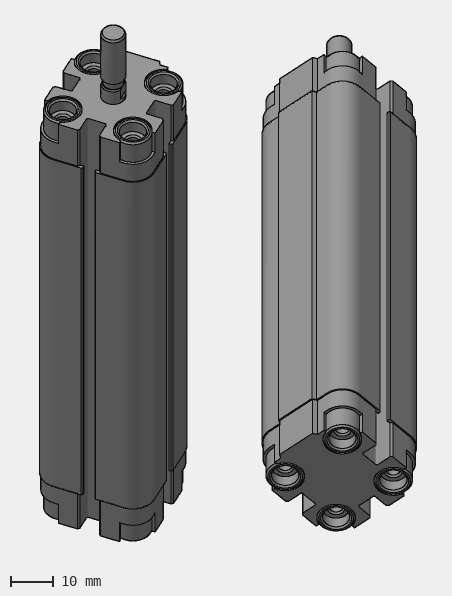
import cadquery as cq
import math

TOTAL_HEIGHT = 148.5
HOUSING_HEIGHT = 128.2
CAP_HEIGHT = 11.6
BARREL_TOP = HOUSING_HEIGHT - CAP_HEIGHT

BARREL_WIDTH = 29.0
BARREL_DEPTH = 30.0
BARREL_HALF_WIDTH = BARREL_WIDTH / 2
BARREL_PAD_REACH = BARREL_DEPTH - BARREL_HALF_WIDTH
CAP_INSET = 0.3
CAP_HALF_WIDTH = BARREL_HALF_WIDTH - CAP_INSET
CAP_PAD_REACH = BARREL_PAD_REACH - CAP_INSET
PAD_WIDTH = 10.4
PAD_FLANK_ANGLE = 30

SLOT_ANGLES = (0, 180, 270)
SLOT_FLOOR = 9.5
SLOT_WIDTH = 5.0
SLOT_MOUTH_WIDTH = 3.1
SLOT_LIP = 0.9
SLOT_FLOOR_FILLET = 0.5
BARREL_SLOT_CHAMFER = 0.3
CAP_SLOT_CHAMFER = 0.5

CORNER_ANGLES = (0, 90, 180, 270)
HOLE_SPACING = 18.0
HOLE_OFFSET = HOLE_SPACING / 2
SCREW_HOLE_DIAMETER = 3.3
SCREW_ENTRY_DIAMETER = 4.2
SOCKET_DIAMETER = 6.4
SOCKET_DEPTH = 3.4

COLLAR_DIAMETER = 9.0
COLLAR_CHAMFER = 0.5
RELIEF_DEPTH = 6.1
RELIEF_PAST_HOLE = 1.2
RELIEF_START = HOLE_OFFSET - RELIEF_PAST_HOLE

ROD_DIAMETER = 6.0
ROD_TIP_DIAMETER = 5.2
ROD_TIP_LENGTH = 0.6
NECK_DIAMETER = 4.9
NECK_TOP = 134.5
NECK_BOTTOM = 132.5
SHOULDER_CHAMFER = 0.3
FLAT_BOTTOM = 129.5
ACROSS_FLATS = 5.0
ROD_BOTTOM = BARREL_TOP

CLEARANCE = 1.5


def outline_prism(half_width, pad_reach, bottom, top):
    """Square with corners rounded about the screw holes and a slope-sided pad along its +Y side."""
    square = (
        cq.Workplane("XY", origin=(0, 0, bottom))
        .rect(2 * half_width, 2 * half_width)
        .extrude(top - bottom)
        .edges("|Z")
        .fillet(half_width - HOLE_OFFSET)
    )
    pad_half_width = PAD_WIDTH / 2
    foot_half_width = pad_half_width + (pad_reach - half_width) * math.tan(math.radians(PAD_FLANK_ANGLE))
    pad_outline = [
        (pad_half_width, pad_reach),
        (foot_half_width, half_width),
        (foot_half_width, 0),
        (-foot_half_width, 0),
        (-foot_half_width, half_width),
        (-pad_half_width, pad_reach),
    ]
    pad = (
        cq.Workplane("XY", origin=(0, 0, bottom))
        .polyline(pad_outline)
        .close()
        .extrude(top - bottom)
    )
    return square.union(pad)


def slot_chamber(end, bottom, top):
    """Cutter for the wide part of a +X slot, from its rounded floor out to x = end."""
    return (
        cq.Workplane("XY", origin=((SLOT_FLOOR + end) / 2, 0, bottom))
        .rect(end - SLOT_FLOOR, SLOT_WIDTH)
        .extrude(top - bottom)
        .edges("|Z and <X")
        .fillet(SLOT_FLOOR_FILLET)
    )


def slot_mouth(width, chamfer, face, bottom, top):
    """Cutter for a +X slot opening with chamfered edges at the face x = face."""
    inner = width / 2
    outer = inner + chamfer
    half_outline = [
        (SLOT_FLOOR + SLOT_FLOOR_FILLET, inner),
        (face - chamfer, inner),
        (face, outer),
        (face + CLEARANCE, outer),
    ]
    mirrored = [(x, -y) for x, y in reversed(half_outline)]
    return (
        cq.Workplane("XY", origin=(0, 0, bottom))
        .polyline(half_outline + mirrored)
        .close()
        .extrude(top - bottom)
    )


def slot_cutter():
    """Whole +X slot: lipped along the barrel, fully open along both caps."""
    cutter = slot_chamber(BARREL_HALF_WIDTH - SLOT_LIP, 0, HOUSING_HEIGHT)
    barrel_mouth = slot_mouth(
        SLOT_MOUTH_WIDTH, BARREL_SLOT_CHAMFER, BARREL_HALF_WIDTH, CAP_HEIGHT, BARREL_TOP
    )
    cutter = cutter.union(barrel_mouth)
    for bottom, top in ((0, CAP_HEIGHT), (BARREL_TOP, HOUSING_HEIGHT)):
        cutter = cutter.union(slot_mouth(SLOT_WIDTH, CAP_SLOT_CHAMFER, CAP_HALF_WIDTH, bottom, top))
    return cutter


def socket_cutter():
    """Revolved cutter for the socket at the top end of the (+X, +Y) corner."""
    top = HOUSING_HEIGHT
    floor = top - SOCKET_DEPTH
    entry_depth = (SCREW_ENTRY_DIAMETER - SCREW_HOLE_DIAMETER) / 2
    profile = [
        (0, HOUSING_HEIGHT / 2),
        (SCREW_HOLE_DIAMETER / 2, HOUSING_HEIGHT / 2),
        (SCREW_HOLE_DIAMETER / 2, floor - entry_depth),
        (SCREW_ENTRY_DIAMETER / 2, floor),
        (SOCKET_DIAMETER / 2, floor),
        (SOCKET_DIAMETER / 2, top - COLLAR_CHAMFER),
        (SOCKET_DIAMETER / 2 + COLLAR_CHAMFER, top),
        (0, top),
    ]
    socket = cq.Workplane("XZ").polyline(profile).close().revolve(360, (0, 0), (0, 1))
    return socket.translate((HOLE_OFFSET, HOLE_OFFSET, 0))


def collar_cutter():
    """Cutter for the collar's outer chamfer and the relief on the (+X, +Y) corner, top end."""
    radius = COLLAR_DIAMETER / 2
    top = HOUSING_HEIGHT
    groove_profile = [
        (radius, top - COLLAR_CHAMFER),
        (radius, top),
        (radius - COLLAR_CHAMFER, top),
    ]
    groove = (
        cq.Workplane("XZ")
        .polyline(groove_profile)
        .close()
        .revolve(360, (0, 0), (0, 1))
        .translate((HOLE_OFFSET, HOLE_OFFSET, 0))
    )
    relief_size = BARREL_HALF_WIDTH - RELIEF_START
    collar = (
        cq.Workplane("XY", origin=(HOLE_OFFSET, HOLE_OFFSET, top - RELIEF_DEPTH))
        .circle(radius)
        .extrude(RELIEF_DEPTH)
    )
    relief = (
        cq.Workplane("XY", origin=(RELIEF_START, RELIEF_START, top - RELIEF_DEPTH))
        .rect(relief_size, relief_size, centered=False)
        .extrude(RELIEF_DEPTH)
        .cut(collar)
    )
    return relief.union(groove)


def about_z(shape, angle):
    return shape.rotate((0, 0, 0), (0, 0, 1), angle)


def make_housing():
    housing = outline_prism(CAP_HALF_WIDTH, CAP_PAD_REACH, 0, HOUSING_HEIGHT)
    housing = housing.union(outline_prism(BARREL_HALF_WIDTH, BARREL_PAD_REACH, CAP_HEIGHT, BARREL_TOP))
    for angle in SLOT_ANGLES:
        housing = housing.cut(about_z(slot_cutter(), angle))
    for top_cutter in (socket_cutter(), collar_cutter()):
        bottom_cutter = top_cutter.mirror("XY", (0, 0, HOUSING_HEIGHT / 2))
        for angle in CORNER_ANGLES:
            housing = housing.cut(about_z(top_cutter, angle)).cut(about_z(bottom_cutter, angle))
    rod_hole = (
        cq.Workplane("XY", origin=(0, 0, ROD_BOTTOM))
        .circle(ROD_DIAMETER / 2)
        .extrude(HOUSING_HEIGHT - ROD_BOTTOM)
    )
    return housing.cut(rod_hole)


def make_rod():
    """Turned rod with a narrow neck and, below it, wrench flats facing +X and -X."""
    radius = ROD_DIAMETER / 2
    neck_radius = NECK_DIAMETER / 2
    profile = [
        (0, ROD_BOTTOM),
        (radius, ROD_BOTTOM),
        (radius, NECK_BOTTOM - SHOULDER_CHAMFER),
        (radius - SHOULDER_CHAMFER, NECK_BOTTOM),
        (neck_radius, NECK_BOTTOM),
        (neck_radius, NECK_TOP),
        (radius, NECK_TOP),
        (radius, TOTAL_HEIGHT - ROD_TIP_LENGTH),
        (ROD_TIP_DIAMETER / 2, TOTAL_HEIGHT),
        (0, TOTAL_HEIGHT),
    ]
    rod = cq.Workplane("XZ").polyline(profile).close().revolve(360, (0, 0), (0, 1))
    flat_distance = ACROSS_FLATS / 2
    flat_profile = [
        (flat_distance, NECK_BOTTOM),
        (flat_distance, FLAT_BOTTOM),
        (flat_distance + CLEARANCE, FLAT_BOTTOM - CLEARANCE),
        (flat_distance + CLEARANCE, NECK_BOTTOM),
    ]
    flat = cq.Workplane("XZ").polyline(flat_profile).close().extrude(radius, both=True)
    for angle in (0, 180):
        rod = rod.cut(about_z(flat, angle))
    return rod


housing = make_housing()
rod = make_rod()
result = cq.Compound.makeCompound([housing.val(), rod.val()])